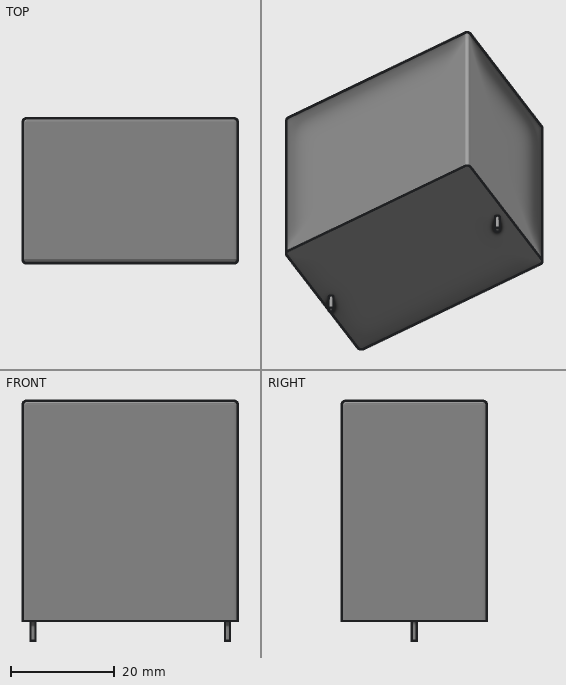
import cadquery as cq

case_length = 41.5
case_width = 28.0
case_height = 42.5
edge_radius = 0.8

pin_diameter = 1.0
pin_pitch = 37.5
pin_length = 3.8


def make_case():
    """Box standing on Z = 0, rounded on every edge except those of the base."""
    box = cq.Workplane("XY").box(case_length, case_width, case_height, centered=(True, True, False))
    return box.edges("|Z or >Z").fillet(edge_radius)


def make_pin(x):
    """Round lead hanging down from the underside of the case."""
    return cq.Workplane("XY").center(x, 0).circle(pin_diameter / 2).extrude(-pin_length)


case = make_case()
pins = [make_pin(side * pin_pitch / 2) for side in (-1, 1)]

result = cq.Compound.makeCompound([case.val(), *[pin.val() for pin in pins]])